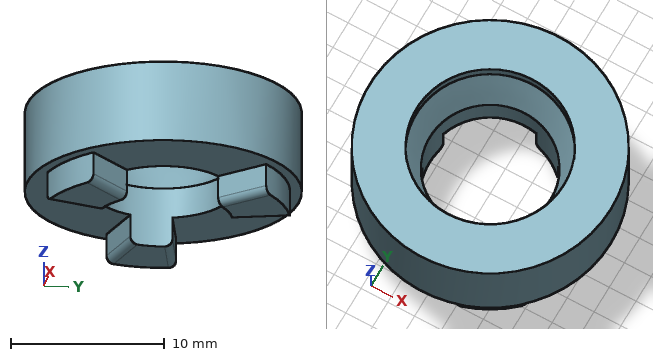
import cadquery as cq
import math

outer_diameter = 18.0
bore_diameter = 9.0
body_height = 5.5

mouth_diameter = 11.0
mouth_depth = 0.8
seat_bottom_depth = 3.45
seat_height = 2.38
seat_angle = 30.0

tooth_count = 3
tooth_height = 2.0
tooth_outer_diameter = 16.49
tooth_inner_station = 4.27
tooth_inner_half_width = 1.39
tooth_outer_station = 7.92
tooth_outer_half_width = 2.3
tooth_edge_radius = 0.5
first_tooth_angle = 60.0

bore_radius = bore_diameter / 2
mouth_radius = mouth_diameter / 2
tooth_outer_radius = tooth_outer_diameter / 2


def make_body():
    """Ring with its underside at Z = 0, before boring."""
    return cq.Workplane("XY").circle(outer_diameter / 2).extrude(body_height)


def make_bore_cutter():
    """Revolved tool for the mouth, the relief, the conical seat and the through bore."""
    mouth_floor = body_height - mouth_depth
    seat_bottom = body_height - seat_bottom_depth
    seat_top = seat_bottom + seat_height
    cavity_radius = bore_radius + seat_height * math.tan(math.radians(seat_angle))
    return (
        cq.Workplane("XZ")
        .moveTo(0, -tooth_height)
        .lineTo(0, body_height)
        .lineTo(mouth_radius, body_height)
        .lineTo(mouth_radius, mouth_floor)
        .lineTo(cavity_radius, mouth_floor)
        .lineTo(cavity_radius, seat_top)
        .lineTo(bore_radius, seat_bottom)
        .lineTo(bore_radius, -tooth_height)
        .close()
        .revolve(360, (0, 0, 0), (0, 1, 0))
    )


def make_tooth():
    """Tooth along +X: flared straight flanks with rounded lower edges."""
    flare = (tooth_outer_half_width - tooth_inner_half_width) / (
        tooth_outer_station - tooth_inner_station
    )
    blank_start = tooth_inner_station / 2
    blank_end = outer_diameter / 2

    def half_width(station):
        return tooth_inner_half_width + flare * (station - tooth_inner_station)

    blank = (
        cq.Workplane("XY")
        .polyline([
            (blank_start, -half_width(blank_start)),
            (blank_end, -half_width(blank_end)),
            (blank_end, half_width(blank_end)),
            (blank_start, half_width(blank_start)),
        ])
        .close()
        .extrude(-tooth_height)
        .faces("<Z")
        .edges("not #X")
        .fillet(tooth_edge_radius)
    )
    rim = cq.Workplane("XY").circle(tooth_outer_radius).extrude(-tooth_height)
    return blank.intersect(rim)


result = make_body()
tooth = make_tooth()
for index in range(tooth_count):
    tooth_angle = first_tooth_angle + index * 360 / tooth_count
    result = result.union(tooth.rotate((0, 0, 0), (0, 0, 1), tooth_angle))
result = result.cut(make_bore_cutter())